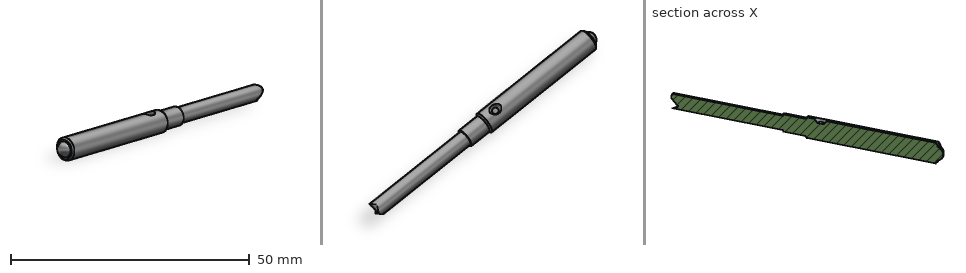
import cadquery as cq
import math

body_diameter = 5.0
body_length = 30.0
body_chamfer = 0.4
shoulder_taper_length = 0.4
collar_diameter = 4.2
collar_length = 5.0
tail_diameter = 3.5
tail_length = 25.4

ball_diameter = 3.5
ball_protrusion = 1.36

hole_setback = 3.5
hole_mouth_diameter = 2.8
hole_floor_diameter = 1.4
hole_taper_angle = 40.0

nose_radius = 0.7
notch_top_height = 0.65
notch_root_height = -1.0
notch_depth = 1.55
lip_hollow_depth = 1.1
lip_hollow_height = -1.48
lip_setback = 0.15

body_radius = body_diameter / 2
collar_radius = collar_diameter / 2
tail_radius = tail_diameter / 2
collar_end = body_length + collar_length
tail_end = collar_end + tail_length


def make_shank():
    """Stepped shank with the ball in its front face, revolved about the Y axis."""
    ball_radius = ball_diameter / 2
    ball_center = ball_radius - ball_protrusion
    ball_rim_radius = math.sqrt(ball_radius**2 - ball_center**2)
    arc_angle = math.atan2(ball_rim_radius, ball_center) / 2
    arc_middle = (ball_radius * math.sin(arc_angle), ball_center - ball_radius * math.cos(arc_angle))
    half_profile = (
        cq.Workplane("XY")
        .moveTo(0, -ball_protrusion)
        .threePointArc(arc_middle, (ball_rim_radius, 0))
        .lineTo(body_radius - body_chamfer, 0)
        .lineTo(body_radius, body_chamfer)
        .lineTo(body_radius, body_length - shoulder_taper_length)
        .lineTo(collar_radius, body_length)
        .lineTo(collar_radius, collar_end)
        .lineTo(tail_radius, collar_end)
        .lineTo(tail_radius, tail_end)
        .lineTo(0, tail_end)
        .close()
    )
    return half_profile.revolve(360, (0, 0, 0), (0, 1, 0))


def make_tapered_hole():
    """Cone cutter, extended above the body so that it opens fully."""
    clearance = 0.5
    slope = math.tan(math.radians(hole_taper_angle))
    floor_radius = hole_floor_diameter / 2
    depth = (hole_mouth_diameter / 2 - floor_radius) / slope
    height = depth + clearance
    cone = cq.Solid.makeCone(floor_radius, floor_radius + height * slope, height)
    return cone.translate(cq.Vector(0, body_length - hole_setback, body_radius - depth))


def make_tail_notch():
    """Cutter across X: rounds the upper edge and hollows a hooked notch below it."""
    clearance = 1.0
    outside = tail_end + clearance
    root = tail_end - notch_depth
    arc_inset = nose_radius * (1 - math.sqrt(0.5))
    lip_hollow = (tail_end - lip_hollow_depth, lip_hollow_height)
    profile = (
        cq.Workplane("YZ")
        .moveTo(tail_end - nose_radius, tail_radius)
        .threePointArc(
            (tail_end - arc_inset, tail_radius - arc_inset),
            (tail_end, tail_radius - nose_radius),
        )
        .lineTo(tail_end, notch_top_height)
        .lineTo(root, notch_root_height)
        .threePointArc(lip_hollow, (tail_end - lip_setback, -tail_radius))
        .lineTo(outside, -tail_radius)
        .lineTo(outside, tail_radius)
        .close()
    )
    return profile.extrude(tail_radius, both=True)


result = make_shank().cut(make_tapered_hole()).cut(make_tail_notch())